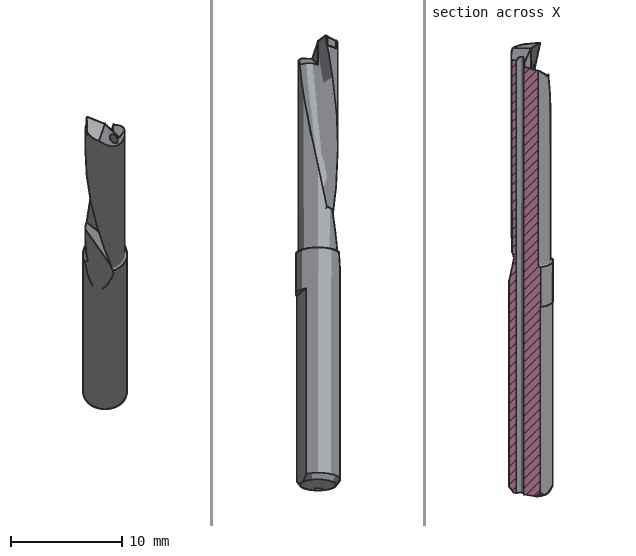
import cadquery as cq
import math

total_length = 42.0
shank_radius = 4.0 / 2
shank_length = 21.85
body_radius = 3.55 / 2
root_fillet = 0.15
end_chamfer_height = 0.5
end_chamfer_inset = 0.38

flat_y = 1.6
flat_length = 18.05

coolant_diameter = 0.7
coolant_x = 1.15
coolant_y = -0.5

flute_bottom = 18.5
flute_twist_per_unit = -6.786
flute_corner_x = 0.67
flute_corner_y = 0.0
flute_corner_radius = 0.85
flute_heel_angle = 75.0

runout_start = 19.0
runout_slope = 12.3
runout_turn = 7.0
runout_wall_left_z = 25.85
runout_wall_right_z = 21.4

edge_relief_slope = 0.13
back_slope_x = 0.0
back_slope_end_z = 40.5
heel_face_z = 40.25
heel_face_slope_x = 0.7
heel_face_slope_y = -0.1

clearance_start = (-1.7, -0.25)
clearance_end = (-1.18, -1.25)
clearance_height = 0.92

reach = 6 * shank_radius


def box_between(low, high):
    size = [b - a for a, b in zip(low, high)]
    return cq.Workplane("XY").box(*size, centered=False).translate(low)


def space_above(point, slope_x, slope_y):
    """Large block resting on the plane through point with the given rises along X and Y."""
    plane = cq.Plane(origin=point, xDir=(1, 0, slope_x), normal=(-slope_x, -slope_y, 1))
    return cq.Workplane(plane).rect(2 * reach, 2 * reach).extrude(reach)


def make_blank():
    blank = (
        cq.Workplane("XZ")
        .moveTo(0, 0)
        .lineTo(shank_radius - end_chamfer_inset, 0)
        .lineTo(shank_radius, end_chamfer_height)
        .lineTo(shank_radius, shank_length)
        .lineTo(body_radius + root_fillet, shank_length)
        .radiusArc((body_radius, shank_length + root_fillet), root_fillet)
        .lineTo(body_radius, total_length)
        .lineTo(0, total_length)
        .close()
        .revolve(360, (0, 0, 0), (0, 1, 0))
    )
    flat = box_between((-reach, flat_y, 0), (reach, reach, flat_length))
    return blank.cut(flat)


def make_flute():
    """Twisted sector whose section at the tip has its cutting face along -X, less the runout."""
    length = total_length - flute_bottom
    twist = flute_twist_per_unit * length
    heel = math.radians(flute_heel_angle)
    outer = 2 * shank_radius
    rim_x = body_radius * math.cos(heel)
    rim_y = body_radius * math.sin(heel)
    wall_length = math.hypot(rim_x - flute_corner_x, rim_y - flute_corner_y)
    stretch = outer / wall_length
    heel_point = (
        flute_corner_x + stretch * (rim_x - flute_corner_x),
        flute_corner_y + stretch * (rim_y - flute_corner_y),
    )
    section = (
        cq.Workplane("XY")
        .polyline([(flute_corner_x, flute_corner_y), heel_point, (-outer, outer), (-outer, flute_corner_y)])
        .close()
        .extrude(0.4)
        .edges("|Z and >X")
        .fillet(flute_corner_radius)
        .faces("<Z")
        .wires()
        .val()
    )
    flute = (
        cq.Workplane("XY")
        .add(section.rotate(cq.Vector(0, 0, 0), cq.Vector(0, 0, 1), -twist))
        .toPending()
        .twistExtrude(length, twist)
        .translate((0, 0, flute_bottom))
    )
    return flute.cut(make_runout())


def make_runout():
    """Block behind the runout floor, ended above by a wall that slants across the tool."""
    depth = 2 * reach
    rise = depth / math.tan(math.radians(runout_slope))
    floor_block = (
        cq.Workplane("YZ")
        .polyline([
            (-shank_radius, runout_start),
            (depth - shank_radius, runout_start + rise),
            (depth - shank_radius, 0),
            (-shank_radius, 0),
        ])
        .close()
        .extrude(reach, both=True)
        .rotate((0, 0, 0), (0, 0, 1), runout_turn)
    )
    wall_slope = (runout_wall_right_z - runout_wall_left_z) / (2 * body_radius)
    return floor_block.cut(space_above((-body_radius, 0, runout_wall_left_z), wall_slope, 0))


def cut_tip(tool):
    tool = tool.cut(space_above((0, 0, total_length), 0, edge_relief_slope))
    back_slope = (back_slope_end_z - total_length) / (body_radius - back_slope_x)
    tool = tool.cut(space_above((back_slope_x, 0, total_length), back_slope, 0))
    heel_side = box_between((0, flute_corner_y, flute_bottom), (reach, reach, total_length + reach))
    heel_face = space_above((flute_corner_x, flute_corner_y, heel_face_z), heel_face_slope_x, heel_face_slope_y)
    tool = tool.cut(heel_face.intersect(heel_side))
    clearance = (
        cq.Workplane("XY", origin=(0, 0, total_length - clearance_height))
        .polyline([clearance_start, clearance_end, (-reach, clearance_end[1]), (-reach, clearance_start[1])])
        .close()
        .extrude(2 * clearance_height)
    )
    return tool.cut(clearance)


coolant = cq.Workplane("XY").center(coolant_x, coolant_y).circle(coolant_diameter / 2).extrude(total_length)
result = cut_tip(make_blank().cut(make_flute())).cut(coolant)